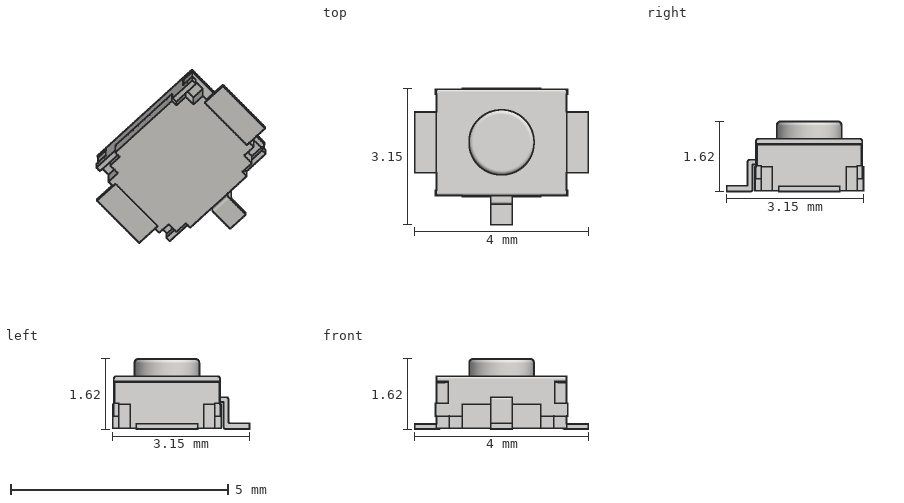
import cadquery as cq


body_length = 3.0
body_width = 2.4
body_height = 1.06
notch_height = 0.55
notch_y = 0.85
foot_length = 2.4
plate_length = 1.8
plate_span = 2.5

cover_top = 1.2
cover_thickness = 0.12
cover_step = 0.025
cover_bend_radius = 0.06
cover_bottom = 0.28
cover_width = body_width + 2 * cover_step
cover_inner_width = cover_width - 2 * cover_thickness
cover_inner_top = cover_top - cover_thickness
wing_span = body_length + 2 * cover_step
wing_top = 0.58
window_length = 0.275
slit_depth = 0.2

button_diameter = 1.5
button_top = 1.6
button_fillet = 0.1

terminal_thickness = 0.12
terminal_bend_radius = 0.06
terminal_bottom = -0.02
side_terminal_span = 4.0
side_terminal_width = 1.41
side_terminal_inset = 0.1
front_terminal_width = 0.5
front_terminal_top = 0.72
front_terminal_tip = 1.9
front_terminal_face = 1.42
front_terminal_foot_thickness = 0.14
front_terminal_inner_radius = 0.02


def block(length, width, bottom, top):
    """Box centred on the Z axis between two heights."""
    return cq.Workplane("XY").workplane(offset=bottom).rect(length, width).extrude(top - bottom)


def make_housing():
    lower = block(body_length, 2 * notch_y, 0, notch_height)
    foot = block(foot_length, cover_inner_width, 0, notch_height)
    plates = block(plate_length, plate_span, 0, notch_height)
    upper = block(body_length, body_width, notch_height, body_height)
    core = block(body_length - 2 * slit_depth, cover_inner_width, notch_height, cover_inner_top)
    return lower.union(foot).union(plates).union(upper).union(core)


def make_cover():
    cover = block(body_length, cover_width, cover_bottom, cover_top)
    cover = cover.edges("|X and >Z").fillet(cover_bend_radius)
    wings = block(wing_span, cover_width, cover_bottom, wing_top)
    cover = cover.union(wings)
    cover = cover.cut(block(wing_span, cover_inner_width, cover_bottom, cover_inner_top))
    window_x = body_length / 2 - window_length / 2
    for side in (-1, 1):
        window = block(window_length, cover_width, wing_top, cover_inner_top)
        cover = cover.cut(window.translate((side * window_x, 0, 0)))
    return cover


def make_button():
    button = (
        cq.Workplane("XY")
        .workplane(offset=cover_inner_top)
        .circle(button_diameter / 2)
        .extrude(button_top - cover_inner_top)
    )
    return button.faces(">Z").edges().fillet(button_fillet)


def make_side_terminal(side):
    inner_x = body_length / 2 - side_terminal_inset
    length = side_terminal_span / 2 - inner_x
    terminal = block(length, side_terminal_width, terminal_bottom, terminal_bottom + terminal_thickness)
    inner_side = "<X" if side > 0 else ">X"
    terminal = terminal.edges(inner_side).edges("<Z").fillet(terminal_bend_radius)
    return terminal.translate((side * (inner_x + length / 2), 0, 0))


def make_front_terminal():
    face_y = -front_terminal_face
    back_y = face_y + terminal_thickness
    root_y = -cover_inner_width / 2
    foot_top = terminal_bottom + front_terminal_foot_thickness
    arm_bottom = front_terminal_top - terminal_thickness
    terminal = (
        cq.Workplane("YZ")
        .moveTo(root_y, front_terminal_top)
        .lineTo(face_y, front_terminal_top)
        .lineTo(face_y, foot_top)
        .lineTo(-front_terminal_tip, foot_top)
        .lineTo(-front_terminal_tip, terminal_bottom)
        .lineTo(back_y, terminal_bottom)
        .lineTo(back_y, arm_bottom)
        .lineTo(root_y, arm_bottom)
        .close()
        .extrude(front_terminal_width / 2, both=True)
    )

    def bend_edge(y, z):
        return cq.NearestToPointSelector((0, y, z))

    terminal = terminal.edges(bend_edge(face_y, front_terminal_top)).fillet(terminal_bend_radius)
    terminal = terminal.edges(bend_edge(back_y, terminal_bottom)).fillet(terminal_bend_radius)
    return terminal.edges(bend_edge(face_y, foot_top)).fillet(front_terminal_inner_radius)


result = make_housing().union(make_cover()).union(make_button()).union(make_front_terminal())
for terminal_side in (-1, 1):
    result = result.union(make_side_terminal(terminal_side))